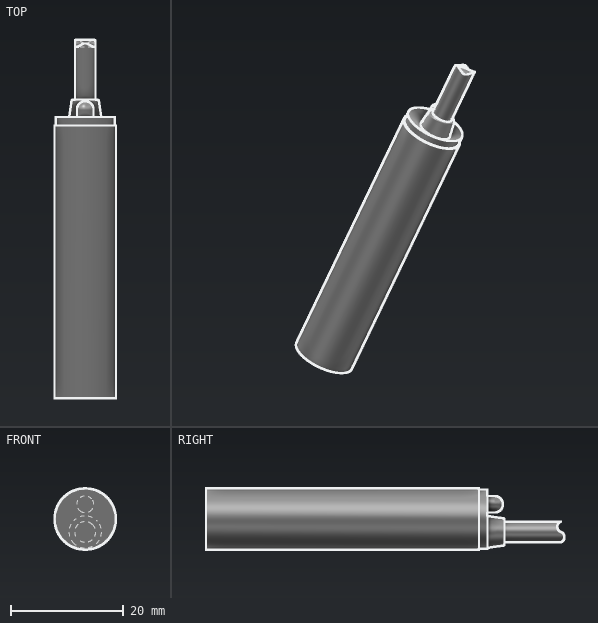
import cadquery as cq

total_length = 63.8

housing_diameter = 11.0
housing_length = 48.55

cap_diameter = 10.6
cap_thickness = 1.5
cap_face_y = housing_length + cap_thickness

cable_diameter = 3.7
cable_radius = cable_diameter / 2
cable_z = -2.3
cable_break_depth = 0.65
cable_break_y = total_length - cable_break_depth
relief_base_diameter = 5.75
relief_tip_diameter = 4.85
relief_length = 3.05
relief_tip_fillet = 0.4

lamp_diameter = 3.0
lamp_radius = lamp_diameter / 2
lamp_z = 2.6
lamp_straight_length = 1.3


def cylinder_along_y(diameter, start_y, length, center_z=0.0):
    """Cylinder running in +Y from start_y."""
    return (
        cq.Workplane("XZ", origin=(0, start_y, center_z))
        .circle(diameter / 2)
        .extrude(-length)
    )


def make_strain_relief():
    """Cone around the cable, with a rounded outer edge at its tip."""
    relief = (
        cq.Workplane("XZ", origin=(0, cap_face_y, cable_z))
        .circle(relief_base_diameter / 2)
        .workplane(offset=-relief_length)
        .circle(relief_tip_diameter / 2)
        .loft(ruled=True)
    )
    return relief.faces(">Y").edges().fillet(relief_tip_fillet)


def make_cable():
    """Cable whose cut end is an S of one hollow arc above one bulging arc."""
    top_z = cable_z + cable_radius
    bottom_z = cable_z - cable_radius
    side_profile = (
        cq.Workplane("YZ", origin=(-cable_radius, 0, 0))
        .moveTo(cap_face_y, bottom_z)
        .lineTo(cable_break_y, bottom_z)
        .threePointArc(
            (cable_break_y + cable_break_depth, cable_z - cable_radius / 2),
            (cable_break_y, cable_z),
        )
        .threePointArc(
            (cable_break_y - cable_break_depth, cable_z + cable_radius / 2),
            (cable_break_y, top_z),
        )
        .lineTo(cap_face_y, top_z)
        .close()
        .extrude(cable_diameter)
    )
    round_cable = cylinder_along_y(cable_diameter, cap_face_y, total_length - cap_face_y, cable_z)
    return round_cable.intersect(side_profile)


def make_lamp():
    """Short round barrel closed by a hemisphere of the same diameter."""
    dome_y = cap_face_y + lamp_straight_length
    barrel = cylinder_along_y(lamp_diameter, cap_face_y, lamp_straight_length, lamp_z)
    dome = (
        cq.Workplane("XY", origin=(0, dome_y, lamp_z))
        .lineTo(lamp_radius, 0)
        .radiusArc((0, lamp_radius), -lamp_radius)
        .close()
        .revolve(360, (0, 0), (0, 1))
    )
    return barrel.union(dome)


def make_housing():
    """Plain round body, with its flat back face against the end cap."""
    return cylinder_along_y(housing_diameter, 0, housing_length)


def make_end_cap():
    """Cap disc carrying the strain relief, cable and indicator lamp."""
    disc = cylinder_along_y(cap_diameter, housing_length, cap_thickness)
    return disc.union(make_strain_relief()).union(make_cable()).union(make_lamp())


housing = make_housing()
end_cap = make_end_cap()

result = cq.Compound.makeCompound([housing.val(), *end_cap.vals()])